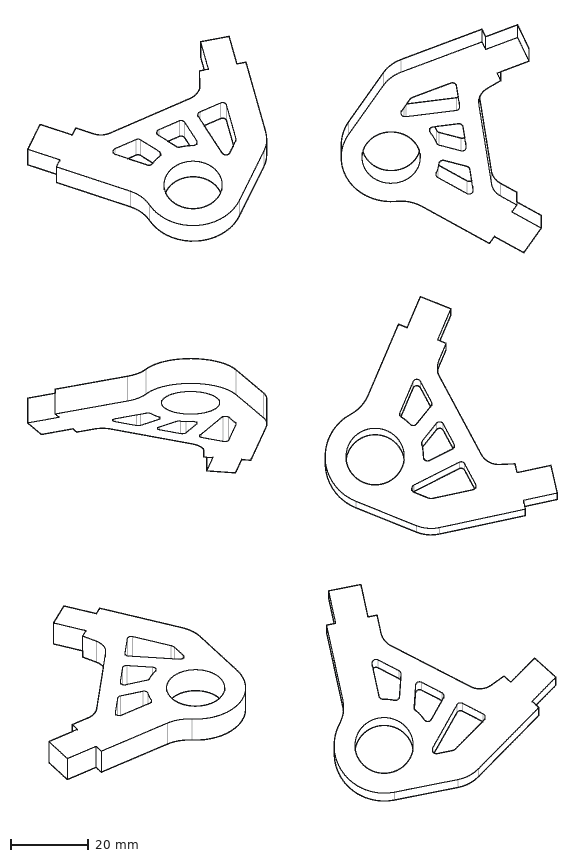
import cadquery as cq
import math

thickness = 7.0
bore_radius = 7.55
hub_radius = 13.0

shoulder_distance = 35.0
tip_distance = 44.0
tang_step = 2.4

lower_arm_bottom = -7.95
lower_arm_top = 5.45

upper_arm_angle = 125
upper_arm_outer = 22.15
upper_arm_inner = 9.7
inner_flank_angle = 115

diagonal_angle = 50
diagonal_offset = -24.7

inner_corner_radius = 5.0
outer_corner_radius = 10.0

diagonal_band = 5.0
hub_band = 5.0
outer_band = 8.0
lower_band = 9.4
rib_width = 4.0
lower_rib_angle = -15.5
lower_rib_offset = 5.1
upper_rib_angle = diagonal_angle - 90
upper_rib_offset = 9.4
window_corner_radius = 1.0


def line(angle, offset):
    """Line a*x + b*y = offset at the given angle; offset is positive to the right of its direction."""
    direction = math.radians(angle)
    return math.sin(direction), -math.cos(direction), offset


def meet(first, second):
    """Point where two lines cross."""
    a1, b1, c1 = first
    a2, b2, c2 = second
    determinant = a1 * b2 - a2 * b1
    return (c1 * b2 - c2 * b1) / determinant, (a1 * c2 - a2 * c1) / determinant


def horizontal(y):
    return 0, 1, y


def vertical(x):
    return 1, 0, x


def upper_arm_point(along, offset):
    """Point at a distance along the upper arm and an offset to its right."""
    angle = math.radians(upper_arm_angle)
    x = along * math.cos(angle) + offset * math.sin(angle)
    y = along * math.sin(angle) - offset * math.cos(angle)
    return x, y


def prism(points):
    return cq.Workplane("XY").polyline(points).close().extrude(thickness)


def cylinder(radius):
    return cq.Workplane("XY").circle(radius).extrude(thickness)


def round_corner(body, corner, radius):
    """Fillet the upright edge at a corner of the outline."""
    middle = (*corner, thickness / 2)
    return body.edges(cq.selectors.NearestToPointSelector(middle)).fillet(radius)


def make_body():
    """Hub and both arms, each arm ending in a stepped tang."""
    diagonal = line(diagonal_angle, diagonal_offset)
    outer_corner = meet(vertical(hub_radius), line(upper_arm_angle, upper_arm_outer))
    flank_start = upper_arm_point(shoulder_distance, upper_arm_inner)
    flank_x, flank_y = flank_start
    flank_direction = math.radians(inner_flank_angle)
    flank_offset = flank_x * math.sin(flank_direction) - flank_y * math.cos(flank_direction)
    upper_inner_corner = meet(diagonal, line(inner_flank_angle, flank_offset))
    lower_inner_corner = meet(diagonal, horizontal(lower_arm_top))
    hub_corner = (-math.sqrt(hub_radius**2 - lower_arm_bottom**2), lower_arm_bottom)

    body = prism([
        (0, 0),
        (hub_radius, 0),
        outer_corner,
        upper_arm_point(shoulder_distance, upper_arm_outer),
        upper_arm_point(shoulder_distance, upper_arm_outer - tang_step),
        upper_arm_point(tip_distance, upper_arm_outer - tang_step),
        upper_arm_point(tip_distance, upper_arm_inner + tang_step),
        upper_arm_point(shoulder_distance, upper_arm_inner + tang_step),
        flank_start,
        upper_inner_corner,
        lower_inner_corner,
        (-shoulder_distance, lower_arm_top),
        (-shoulder_distance, lower_arm_top - tang_step),
        (-tip_distance, lower_arm_top - tang_step),
        (-tip_distance, lower_arm_bottom + tang_step),
        (-shoulder_distance, lower_arm_bottom + tang_step),
        (-shoulder_distance, lower_arm_bottom),
        (0, lower_arm_bottom),
    ])
    body = body.union(cylinder(hub_radius))
    for corner in (upper_inner_corner, lower_inner_corner):
        body = round_corner(body, corner, inner_corner_radius)
    for corner in (outer_corner, hub_corner):
        body = round_corner(body, corner, outer_corner_radius)
    return body


def make_window(sides):
    """Window bounded by straight sides in order, kept clear of the ring around the bore."""
    corners = [meet(side, sides[i - 1]) for i, side in enumerate(sides)]
    return prism(corners).cut(cylinder(bore_radius + hub_band))


def round_all(window):
    return window.edges("|Z").fillet(window_corner_radius)


def round_upper_window(window, outer_corner):
    """Round the outer corner concentric with the outline and the others like every window."""
    middle = (*outer_corner, thickness / 2)
    upright = cq.selectors.ParallelDirSelector(cq.Vector(0, 0, 1))
    other_edges = upright - cq.selectors.NearestToPointSelector(middle)
    window = window.edges(other_edges).fillet(window_corner_radius)
    return round_corner(window, outer_corner, outer_corner_radius - outer_band)


def rib_sides(angle, center_offset):
    """Lower and upper side of a rib whose center line passes above the bore axis."""
    half = rib_width / 2
    return line(angle, -center_offset + half), line(angle, -center_offset - half)


def make_windows():
    diagonal_side = line(diagonal_angle, diagonal_offset + diagonal_band)
    lower_side = horizontal(lower_arm_bottom + lower_band)
    right_side = vertical(hub_radius - outer_band)
    outer_side = line(upper_arm_angle, upper_arm_outer - outer_band)
    lower_rib_bottom, lower_rib_top = rib_sides(lower_rib_angle, lower_rib_offset)
    upper_rib_bottom, upper_rib_top = rib_sides(upper_rib_angle, upper_rib_offset)
    lower_window = make_window([diagonal_side, lower_rib_bottom, lower_side])
    middle_window = make_window([diagonal_side, upper_rib_bottom, lower_rib_top])
    upper_window = make_window([diagonal_side, outer_side, right_side, upper_rib_top])
    return [
        round_all(lower_window),
        round_all(middle_window),
        round_upper_window(upper_window, meet(outer_side, right_side)),
    ]


result = make_body().cut(cylinder(bore_radius))
for opening in make_windows():
    result = result.cut(opening)